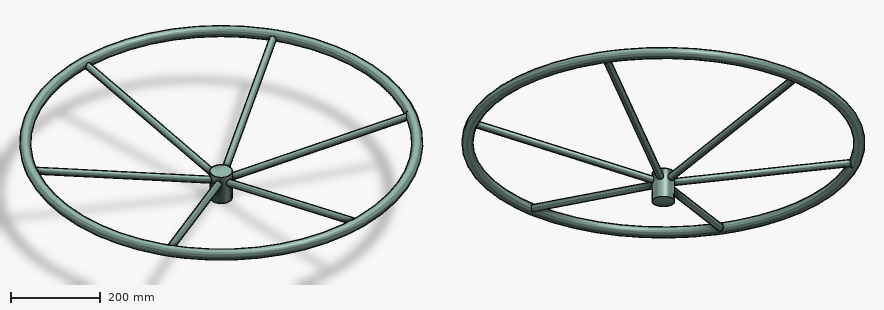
import cadquery as cq
import math

wheel_diameter = 900.0
overall_height = 160.0
rim_tube_diameter = 25.0
hub_diameter = 50.0
hub_height = 71.0
spoke_diameter = 16.0
spoke_count = 6
first_spoke_angle = 30.0
spoke_root_height = 46.0
pin_hole_diameter = 8.0
pin_hole_height = 10.5

rim_radius = (wheel_diameter - rim_tube_diameter) / 2
rim_height = overall_height - rim_tube_diameter / 2
spoke_spacing = 360.0 / spoke_count


def make_hub():
    """Upright cylinder standing on the XY plane."""
    return cq.Workplane("XY").circle(hub_diameter / 2).extrude(hub_height)


def make_rim():
    """Round tube bent into a full circle around the Z axis."""
    torus = cq.Solid.makeTorus(
        rim_radius,
        rim_tube_diameter / 2,
        cq.Vector(0, 0, rim_height),
        cq.Vector(0, 0, 1),
    )
    return cq.Workplane(torus)


def make_spoke(angle):
    """Round bar rising from inside the hub to the centre of the rim section."""
    rise = rim_height - spoke_root_height
    root = cq.Vector(0, 0, spoke_root_height)
    direction = cq.Vector(
        rim_radius * math.cos(math.radians(angle)),
        rim_radius * math.sin(math.radians(angle)),
        rise,
    )
    length = math.hypot(rim_radius, rise)
    bar = cq.Solid.makeCylinder(spoke_diameter / 2, length, root, direction)
    return cq.Workplane(bar)


def make_pin_hole():
    """Cross hole along X through the lower end of the hub."""
    return (
        cq.Workplane("YZ")
        .center(0, pin_hole_height)
        .circle(pin_hole_diameter / 2)
        .extrude(hub_diameter, both=True)
    )


result = make_hub()
for index in range(spoke_count):
    result = result.union(make_spoke(first_spoke_angle + index * spoke_spacing))
result = result.cut(make_pin_hole())
result = result.union(make_rim(), clean=False)